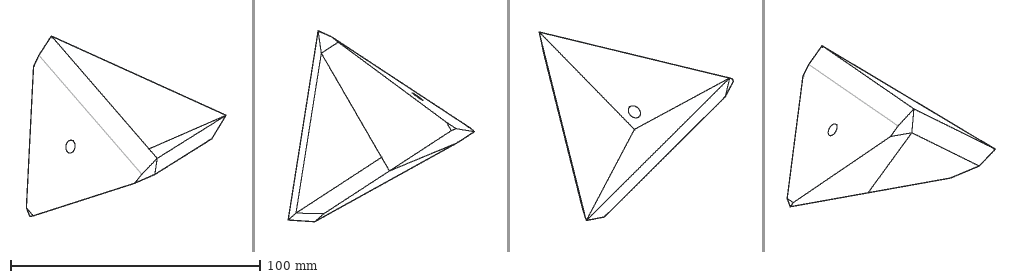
import cadquery as cq
import math

ROOT2 = math.sqrt(2)

width = 81.2
corner_height = 9.0
block_depth = 35.1
block_bevel = 6.6
heel_length = 37.2
hole_diameter = 5.2
hole_height = 29.8

half_width = width / 2
top_height = corner_height + half_width
leg = half_width * ROOT2
thickness = corner_height / ROOT2
rim_bevel = thickness * ROOT2
outer_leg = leg - rim_bevel

face_slope = ROOT2
face_top_y = -block_bevel
face_top_z = top_height - block_bevel
tip_height = face_top_z - face_slope * (block_depth - block_bevel)
hole_y = face_top_y - (face_top_z - hole_height) / face_slope


def make_wing(side, inner_outline, outer_outline):
    """Bevelled plate; outline points are (distance up the wing, distance along Y)."""
    def wire(outline, offset):
        points = []
        for up, along in outline:
            x = side * (up + offset) / ROOT2
            z = corner_height + (up - offset) / ROOT2
            points.append(cq.Vector(x, along, z))
        return cq.Wire.makePolygon(points, close=True)

    return cq.Solid.makeLoft([wire(inner_outline, 0), wire(outer_outline, thickness)], True)


def make_left_wing():
    """Triangular plate that butts against the right wing."""
    inner_outline = [(0, 0), (leg, 0), (0, leg)]
    outer_outline = [(0, 0), (outer_leg, 0), (0, outer_leg)]
    return make_wing(-1, inner_outline, outer_outline)


def make_right_wing():
    """Plate that runs under the left wing's edge and ends there in a sloping heel."""
    heel_slope = rim_bevel / thickness
    heel_corner_up = (outer_leg - heel_length - heel_slope * thickness) / (1 + heel_slope)
    heel_corner = (heel_corner_up, outer_leg - heel_corner_up)
    inner_outline = [(-thickness, 0), (leg, 0), (0, leg), (-thickness, outer_leg)]
    outer_outline = [(-thickness, 0), (outer_leg, 0), heel_corner, (-thickness, heel_length)]
    return make_wing(1, inner_outline, outer_outline)


def make_mounting_block():
    """V-bottomed block with a sloped front face and a hole square to that face."""
    shoulder = (outer_leg + thickness) / ROOT2
    front_outline = [
        (0, 0),
        (shoulder, shoulder),
        (half_width, top_height),
        (-half_width, top_height),
        (-shoulder, shoulder),
    ]
    side_outline = [
        (0, 0),
        (0, top_height),
        (face_top_y, face_top_z),
        (-block_depth, tip_height),
        (-block_depth, 0),
    ]
    body = cq.Workplane("XZ").polyline(front_outline).close().extrude(block_depth)
    side_prism = cq.Workplane("YZ").polyline(side_outline).close().extrude(half_width, both=True)

    inward = cq.Vector(0, face_slope, -1).normalized()
    face_centre = cq.Vector(0, hole_y, hole_height)
    hole = cq.Solid.makeCylinder(
        hole_diameter / 2, block_depth, face_centre - inward * hole_diameter, inward
    )
    return body.intersect(side_prism).cut(cq.Workplane(hole))


left_wing = make_left_wing()
right_wing = make_right_wing()
mounting_block = make_mounting_block()

result = cq.Compound.makeCompound([left_wing, right_wing, mounting_block.val()])